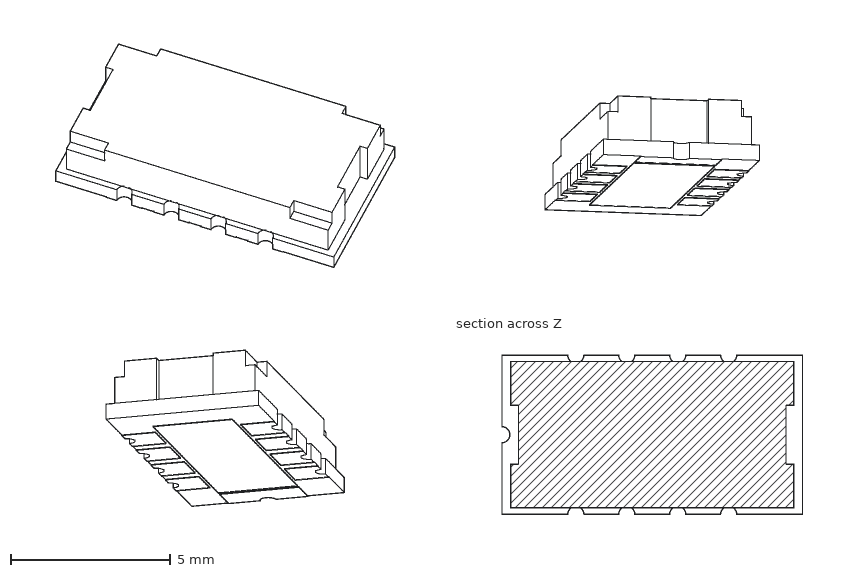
import cadquery as cq

total_height = 1.97

pad_thickness = 0.02
centre_pad_length = 7.2
centre_pad_width = 2.6
end_pad_length = 1.0
side_pad_width = 1.2
side_pad_length = 1.1

board_length = 9.45
board_width = 5.0
board_height = 0.495
board_top = pad_thickness + board_height

castellation_radius = 0.25
castellation_pitch = 1.6
castellations_per_side = 4

cap_length = 8.9
cap_width = 4.6
cap_height = total_height - board_top

end_recess_depth = 0.25
end_recess_width = 1.85

corner_step_length = 1.3
corner_step_width = 0.32
corner_step_depth = 0.51


def side_points(distance):
    """Points level with the side castellations, at a distance either side of the X axis."""
    first_x = -castellation_pitch * (castellations_per_side - 1) / 2
    points = []
    for index in range(castellations_per_side):
        x = first_x + index * castellation_pitch
        points.append((x, -distance))
        points.append((x, distance))
    return points


def make_pads():
    """Centre pad, one pad at the -X end and one pad at each side castellation."""
    centre_pad = cq.Workplane("XY").rect(centre_pad_length, centre_pad_width).extrude(pad_thickness)
    end_pad = (
        cq.Workplane("XY")
        .center((end_pad_length - board_length) / 2, 0)
        .rect(end_pad_length, centre_pad_width)
        .extrude(pad_thickness)
    )
    side_pads = (
        cq.Workplane("XY")
        .pushPoints(side_points((board_width - side_pad_length) / 2))
        .rect(side_pad_width, side_pad_length)
        .extrude(pad_thickness)
    )
    return centre_pad.union(end_pad).union(side_pads)


def make_board():
    """Plain rectangular board resting on the pads."""
    return (
        cq.Workplane("XY")
        .workplane(offset=pad_thickness)
        .rect(board_length, board_width)
        .extrude(board_height)
    )


def make_castellations():
    """Cutters through board and pads: four along each long side and one in the -X end."""
    end_point = (-board_length / 2, 0)
    return (
        cq.Workplane("XY")
        .pushPoints([end_point] + side_points(board_width / 2))
        .circle(castellation_radius)
        .extrude(board_top)
    )


def make_cap():
    """Cap with recessed ends and stepped top corners."""
    cap = (
        cq.Workplane("XY")
        .workplane(offset=board_top)
        .rect(cap_length, cap_width)
        .extrude(cap_height)
    )
    end_recesses = (
        cq.Workplane("XY")
        .workplane(offset=board_top)
        .pushPoints([(-cap_length / 2, 0), (cap_length / 2, 0)])
        .rect(2 * end_recess_depth, end_recess_width)
        .extrude(cap_height)
    )
    corner_steps = (
        cq.Workplane("XY")
        .workplane(offset=total_height)
        .rect(cap_length, cap_width, forConstruction=True)
        .vertices()
        .rect(2 * corner_step_length, 2 * corner_step_width)
        .extrude(-corner_step_depth)
    )
    return cap.cut(end_recesses).cut(corner_steps)


base = make_pads().union(make_board()).cut(make_castellations())
result = base.union(make_cap())